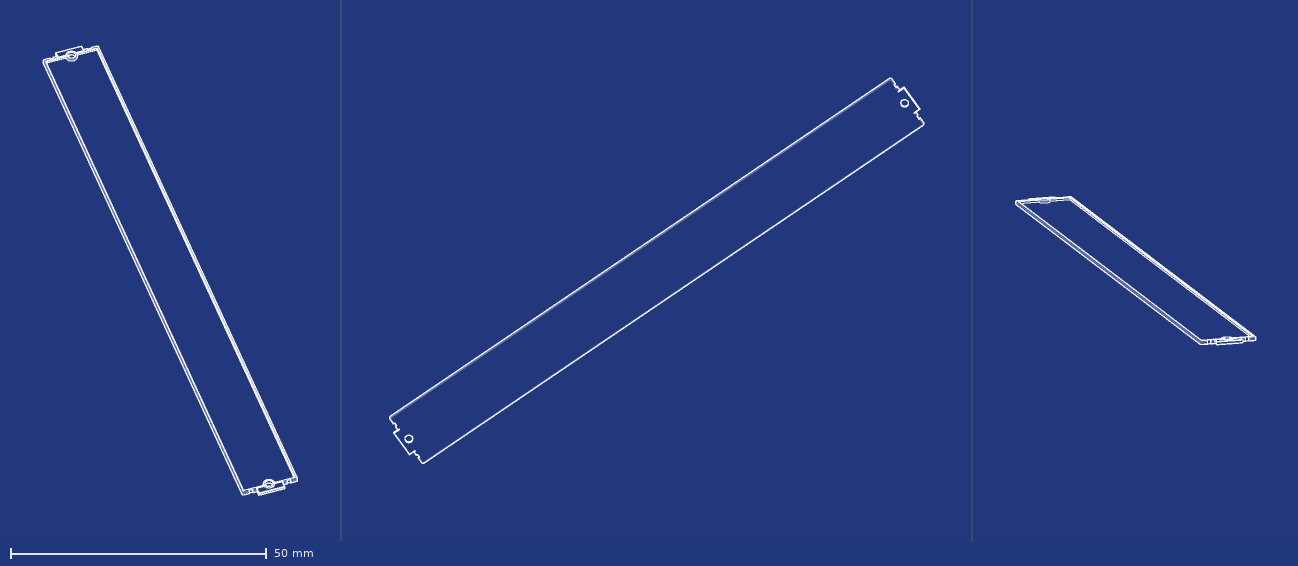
import cadquery as cq

overall_length = 121.8
width = 11.5
height = 0.8

tab_reach = 1.0
body_length = overall_length - 2 * tab_reach
corner_radius = 0.4
edge_fillet = 0.2
floor_thickness = 0.3
side_rim = 0.5
end_rim = 0.7
rim_chamfer = 0.1

tab_width = 5.4
tab_height = 0.7
tab_chamfer = 0.1
tab_recess = 0.4
tab_length = tab_reach + tab_recess

hole_diameter = 1.5
boss_diameter = 2.25
boss_fillet = 0.15
hole_x = 59.15

notch_width = 0.7
notch_depth = 0.3
notch_y = 3.9


def block(length, depth, thickness):
    """Block centred on the Z axis, standing on Z = 0."""
    return cq.Workplane("XY").box(length, depth, thickness, centered=(True, True, False))


def make_tray():
    """Rounded plate with a pocket whose mouth is chamfered."""
    plate = block(body_length, width, height).edges("|Z").fillet(corner_radius)
    plate = plate.faces(">Z or <Z").edges().fillet(edge_fillet)
    pocket_length = body_length - 2 * end_rim
    pocket_width = width - 2 * side_rim
    pocket = block(pocket_length, pocket_width, height).translate((0, 0, floor_thickness))
    mouth_flare = (
        cq.Workplane("XY")
        .workplane(offset=height - rim_chamfer)
        .rect(pocket_length, pocket_width)
        .workplane(offset=rim_chamfer)
        .rect(pocket_length + 2 * rim_chamfer, pocket_width + 2 * rim_chamfer)
        .loft()
    )
    return plate.cut(pocket).cut(mouth_flare)


def make_end_cuts(end):
    """Tab recess and the two notches at one end (-1 or 1)."""
    cuts = block(2 * tab_recess, tab_width, height)
    for side in (-1, 1):
        notch = block(2 * notch_depth, notch_width, height)
        cuts = cuts.union(notch.translate((0, side * notch_y, 0)))
    return cuts.translate((end * body_length / 2, 0, 0))


def make_tab(end):
    """Tab with its outer edges chamfered, at one end."""
    inner_face = "<X" if end > 0 else ">X"
    tab = block(tab_length, tab_width, tab_height)
    tab = tab.faces(">Z or <Z").edges(f"not({inner_face})").chamfer(tab_chamfer)
    return tab.translate((end * (overall_length - tab_length) / 2, 0, 0))


def make_boss(end):
    """Round boss with a softened top edge, at one end."""
    boss = cq.Workplane("XY").center(end * hole_x, 0).circle(boss_diameter / 2).extrude(height)
    return boss.faces(">Z").edges().fillet(boss_fillet)


def make_hole(end):
    """Through hole of the boss at one end."""
    return cq.Workplane("XY").center(end * hole_x, 0).circle(hole_diameter / 2).extrude(height)


result = make_tray()
for end in (-1, 1):
    result = result.cut(make_end_cuts(end))
    result = result.union(make_tab(end)).union(make_boss(end))
    result = result.cut(make_hole(end))